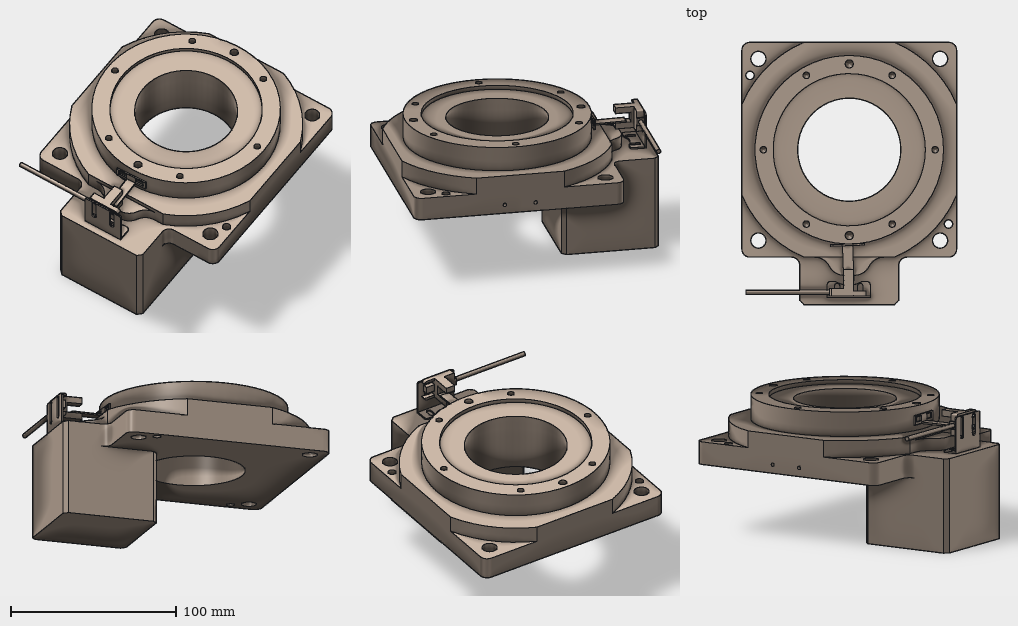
import cadquery as cq
import math


plate_size = 130.0
plate_half = plate_size / 2
plate_height = 14.0
corner_radius = 5.0
boss_radius = 70.5
boss_height = 10.3
boss_top = plate_height + boss_height

mount_hole_diameter = 9.0
mount_hole_offset = 55.0
dowel_hole_diameter = 5.0
dowel_x = 60.0
dowel_y = 45.0

side_hole_diameter = 2.0
side_hole_depth = 4.8
side_hole_offset = 9.5
side_hole_z = 5.4

overall_length = 158.8
motor_size = 60.0
motor_drop = 44.1
motor_chamfer = 2.7
motor_front_y = plate_half - overall_length
motor_centre_y = motor_front_y + motor_size / 2

cover_height = 7.5
cover_reach = 11.0
cover_half_width = 21.0
cover_arc_radius = 10.0

table_radius = 57.0
table_height = 15.1
table_top = boss_top + table_height
recess_radius = 46.0
recess_depth = 2.5
bore_radius = 31.1

hole_circle_radius = 52.0
tapped_hole_diameter = 4.0
tapped_hole_depth = 8.0
pin_hole_diameter = 5.0
pin_hole_depth = 8.0
drill_tip_angle = 118.0

sensor_x = -0.3
sensor_bottom = 24.3
sensor_height = 13.7
sensor_centre_z = sensor_bottom + sensor_height / 2
sensor_back_y = -88.5
stem_half_width = 3.0
stem_tip_y = -72.5
gap_height = 6.0
gap_end_y = -82.3
wing_half_width = 10.5
left_wing_depth = 4.6
right_wing_depth = 3.0
left_wing_rounding = 1.0
right_wing_rounding = 2.2
ear_thickness = 1.6
middle_block_height = 4.8
middle_block_end_x = 8.5
cable_block_length = 1.3
cable_radius = 1.35
cable_y = -86.2
cable_end_x = -62.5

sheet = 1.0
bracket_width = 26.0
bracket_clearance = 0.3
bracket_bottom = plate_height + bracket_clearance
bracket_height = 22.4
foot_length = 9.7
upright_corner_radius = 1.3
foot_corner_radius = 1.9
slot_width = 3.2
upright_slot_spacing = 12.9
upright_slot_length = 13.7
upright_slot_centre_z = 29.4
foot_slot_spacing = 14.0
foot_slot_length = 6.4
foot_slot_inset = 1.1
foot_notch_radius = 15.9
foot_notch_half_width = 8.1

flag_tilt = 2.0
flag_offset = -3.0
flag_width = 20.6
flag_bottom = 28.1
flag_height = 5.9
flag_arm_width = 6.2
flag_arm_end = 79.1
flag_slot_length = 5.4
flag_slot_height = 3.2
flag_slot_spacing = 12.0
flag_slot_z = 31.5


def box(x_min, x_max, y_min, y_max, z_min, z_max):
    """Axis-aligned block between two corners."""
    return cq.Workplane("XY").box(
        x_max - x_min, y_max - y_min, z_max - z_min, centered=False
    ).translate((x_min, y_min, z_min))


def drilled_hole(diameter, depth):
    """Blind hole below Z = 0 that ends in a drill tip."""
    radius = diameter / 2
    tip = radius / math.tan(math.radians(drill_tip_angle / 2))
    profile = [(0, 0), (radius, 0), (radius, -depth), (0, -depth - tip)]
    return cq.Workplane("XZ").polyline(profile).close().revolve(360, (0, 0, 0), (0, 1, 0))


def base_plate():
    plate = (
        cq.Workplane("XY").rect(plate_size, plate_size).extrude(plate_height)
        .edges("|Z").fillet(corner_radius)
    )
    motor = (
        cq.Workplane("XY").workplane(offset=-motor_drop).center(0, motor_centre_y)
        .rect(motor_size, motor_size).extrude(motor_drop + plate_height)
        .edges("|Z").chamfer(motor_chamfer)
    )
    body = plate.union(motor)
    for side in (-1, 1):
        body = body.union(plate_to_motor_fillet(side))
    return body


def plate_to_motor_fillet(side):
    """Concave fillet between the plate front and one side of the motor housing."""
    r = corner_radius
    wall_x = side * motor_size / 2
    diagonal = r * (1 - math.sqrt(0.5))
    return (
        cq.Workplane("XY").moveTo(wall_x, -plate_half)
        .lineTo(wall_x + side * r, -plate_half)
        .threePointArc(
            (wall_x + side * diagonal, -plate_half - diagonal), (wall_x, -plate_half - r)
        )
        .close().extrude(plate_height)
    )


def boss():
    """Round boss trimmed to the sides of the plate."""
    disc = cq.Workplane("XY").workplane(offset=plate_height).circle(boss_radius).extrude(boss_height)
    trim = cq.Workplane("XY").rect(plate_size, plate_size).extrude(boss_top)
    return disc.intersect(trim)


def gear_cover():
    """Bell-shaped cover: two equal arcs per side and a short flat nose."""
    r = cover_arc_radius
    half_reach = cover_reach / 2
    turn = math.acos(1 - half_reach / r)
    arc_x = r * math.sin(turn)
    mid_x = r * math.sin(turn / 2)
    mid_y = r * (1 - math.cos(turn / 2))
    outer_x = cover_half_width
    joint_x = outer_x - arc_x
    nose_x = joint_x - arc_x
    root_y = -plate_half
    nose_y = root_y - cover_reach
    return (
        cq.Workplane("XY").workplane(offset=plate_height)
        .moveTo(outer_x, root_y)
        .threePointArc((outer_x - mid_x, root_y - mid_y), (joint_x, root_y - half_reach))
        .threePointArc((nose_x + mid_x, nose_y + mid_y), (nose_x, nose_y))
        .lineTo(-nose_x, nose_y)
        .threePointArc((-nose_x - mid_x, nose_y + mid_y), (-joint_x, root_y - half_reach))
        .threePointArc((mid_x - outer_x, root_y - mid_y), (-outer_x, root_y))
        .close().extrude(cover_height)
    )


def rotary_table():
    table = cq.Workplane("XY").workplane(offset=boss_top).circle(table_radius).extrude(table_height)
    recess = (
        cq.Workplane("XY").workplane(offset=table_top - recess_depth)
        .circle(recess_radius).extrude(recess_depth)
    )
    table = table.cut(recess)
    tapped_hole = drilled_hole(tapped_hole_diameter, tapped_hole_depth)
    for angle in range(0, 360, 60):
        table = table.cut(
            tapped_hole.translate((hole_circle_radius, 0, table_top)).rotate((0, 0, 0), (0, 0, 1), angle)
        )
    pin_hole = drilled_hole(pin_hole_diameter, pin_hole_depth)
    for side in (-1, 1):
        table = table.cut(pin_hole.translate((0, side * hole_circle_radius, table_top)))
    return table


def make_stage():
    body = base_plate().union(boss()).union(gear_cover()).union(rotary_table())
    bore = cq.Workplane("XY").circle(bore_radius).extrude(table_top)
    mount_holes = (
        cq.Workplane("XY").rect(2 * mount_hole_offset, 2 * mount_hole_offset, forConstruction=True)
        .vertices().circle(mount_hole_diameter / 2).extrude(plate_height)
    )
    dowel_holes = (
        cq.Workplane("XY").pushPoints([(-dowel_x, dowel_y), (dowel_x, -dowel_y)])
        .circle(dowel_hole_diameter / 2).extrude(plate_height)
    )
    side_holes = (
        cq.Workplane("YZ").workplane(offset=-plate_half)
        .pushPoints([(-side_hole_offset, side_hole_z), (side_hole_offset, side_hole_z)])
        .circle(side_hole_diameter / 2).extrude(side_hole_depth)
    )
    return body.cut(bore).cut(mount_holes).cut(dowel_holes).cut(side_holes)


def make_bracket():
    outer_y = sensor_back_y - sheet
    foot_end_y = outer_y + foot_length
    half_width = bracket_width / 2
    left, right = sensor_x - half_width, sensor_x + half_width
    upright = (
        box(left, right, outer_y, sensor_back_y, bracket_bottom, bracket_bottom + bracket_height)
        .edges("|Y and >Z").fillet(upright_corner_radius)
    )
    upright_slots = (
        cq.Workplane("XZ").workplane(offset=-sensor_back_y)
        .center(sensor_x, upright_slot_centre_z)
        .rarray(upright_slot_spacing, 1.6, 2, 1)
        .slot2D(upright_slot_length, slot_width, 90).extrude(sheet)
    )
    foot = (
        box(left, right, outer_y, foot_end_y, bracket_bottom, bracket_bottom + sheet)
        .edges("|Z and >Y").fillet(foot_corner_radius)
    )
    notch_rise = math.sqrt(foot_notch_radius**2 - foot_notch_half_width**2)
    foot_notch = (
        cq.Workplane("XY").workplane(offset=bracket_bottom)
        .center(sensor_x, foot_end_y + notch_rise).circle(foot_notch_radius).extrude(sheet)
    )
    foot_slots = (
        cq.Workplane("XY").workplane(offset=bracket_bottom)
        .center(sensor_x, foot_end_y - foot_slot_inset - foot_slot_length / 2)
        .rarray(foot_slot_spacing, 1.6, 2, 1)
        .slot2D(foot_slot_length, slot_width, 90).extrude(sheet)
    )
    return upright.cut(upright_slots).union(foot.cut(foot_notch).cut(foot_slots))


def make_sensor():
    top = sensor_bottom + sensor_height
    left, right = sensor_x - wing_half_width, sensor_x + wing_half_width
    stem_left, stem_right = sensor_x - stem_half_width, sensor_x + stem_half_width
    left_wing_front = sensor_back_y + left_wing_depth
    right_wing_front = sensor_back_y + right_wing_depth
    half_block = middle_block_height / 2
    block_bottom, block_top = sensor_centre_z - half_block, sensor_centre_z + half_block

    stem = box(stem_left, stem_right, sensor_back_y, stem_tip_y, sensor_bottom, top)
    fork_gap = box(
        stem_left, stem_right, gap_end_y, stem_tip_y,
        sensor_centre_z - gap_height / 2, sensor_centre_z + gap_height / 2,
    )
    left_wing = (
        box(left, stem_left, sensor_back_y, left_wing_front, sensor_bottom, top)
        .edges("|Y and <X").fillet(left_wing_rounding)
    )
    right_wing = (
        box(stem_right, right, sensor_back_y, right_wing_front, sensor_bottom, top)
        .edges("|Y and >X").fillet(right_wing_rounding)
    )
    right_pocket = box(
        stem_right, right, sensor_back_y, right_wing_front,
        sensor_bottom + ear_thickness, top - ear_thickness,
    )
    right_wing = right_wing.cut(right_pocket)
    middle_block = box(
        stem_right, middle_block_end_x, sensor_back_y, right_wing_front, block_bottom, block_top
    )
    cable_block_end = left - cable_block_length
    cable_block = box(
        cable_block_end, left, sensor_back_y, left_wing_front, block_bottom, block_top
    )
    cable = (
        cq.Workplane("YZ").workplane(offset=cable_end_x).center(cable_y, sensor_centre_z)
        .circle(cable_radius).extrude(cable_block_end - cable_end_x)
    )
    body = stem.cut(fork_gap)
    for piece in (left_wing, right_wing, middle_block, cable_block, cable):
        body = body.union(piece)
    return body


def make_flag():
    half_width = flag_width / 2
    half_arm = flag_arm_width / 2
    face_y = -table_radius
    front_y = face_y - sheet
    blade = box(-half_width, half_width, front_y, face_y, flag_bottom, flag_bottom + flag_height)
    slots = (
        cq.Workplane("XZ").workplane(offset=-face_y).center(0, flag_slot_z)
        .rarray(flag_slot_spacing, 1.6, 2, 1).rect(flag_slot_length, flag_slot_height).extrude(sheet)
    )
    arm = box(-half_arm, half_arm, -flag_arm_end, face_y, flag_bottom, flag_bottom + sheet)
    return (
        blade.cut(slots).union(arm)
        .translate((flag_offset, 0, 0)).rotate((0, 0, 0), (0, 0, 1), flag_tilt)
    )


stage = make_stage()
bracket = make_bracket()
sensor = make_sensor()
flag = make_flag()

result = cq.Compound.makeCompound([stage.val(), bracket.val(), sensor.val(), flag.val()])